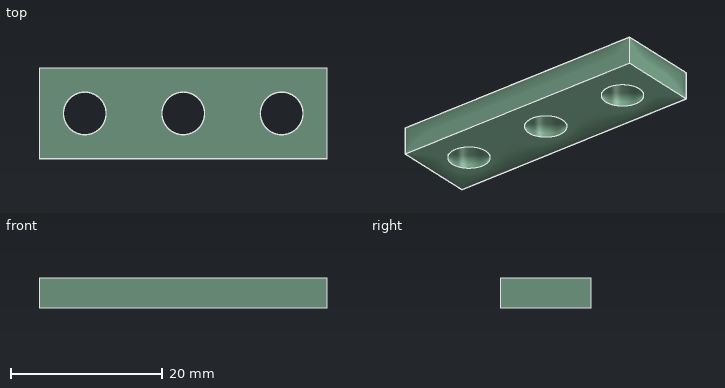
import cadquery as cq

plate_length = 38.0
plate_width = 12.0
plate_thickness = 4.0
hole_diameter = 5.6
hole_count = 3

end_margin = plate_width / 2
hole_pitch = (plate_length - 2 * end_margin) / (hole_count - 1)


def make_plate():
    """Flat bar resting on Z = 0, centred in X and Y."""
    return cq.Workplane("XY").box(
        plate_length, plate_width, plate_thickness, centered=(True, True, False)
    )


def drill_holes(plate):
    """Row of evenly spaced through holes along the centreline."""
    return (
        plate.faces(">Z")
        .workplane(origin=(0, 0, plate_thickness))
        .rarray(hole_pitch, plate_width, hole_count, 1)
        .hole(hole_diameter)
    )


result = drill_holes(make_plate())